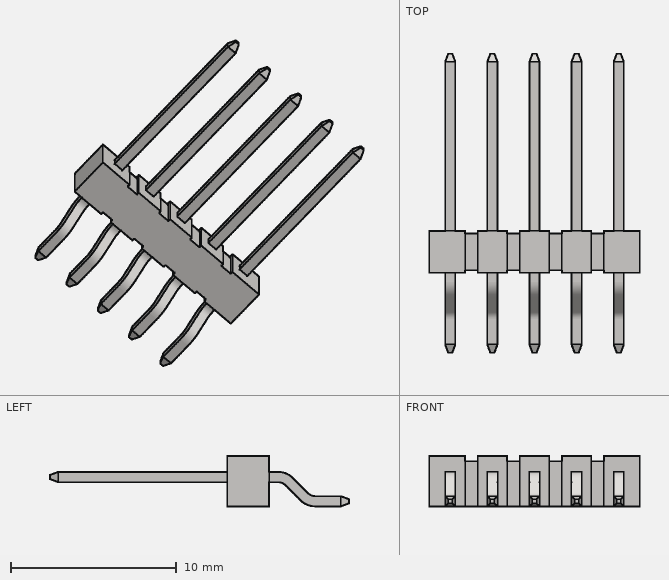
import cadquery as cq
import math

pin_count = 5
housing_width = 12.7
housing_depth = 2.55
housing_height = 3.05
web_width = 0.75
web_top_step = 0.3
web_side_step = 0.157

overall_length = 18.03
pin_size = 0.63
tail_reach = 4.81
pin_top_gap = 0.95
taper_length = 0.5
tip_size = 0.25
lead_out = 0.54
bend_inner_radius = 0.61
bend_angle = 45.0

pitch = housing_width / pin_count
pin_level = housing_height - pin_top_gap - pin_size / 2
tail_level = pin_size / 2
pin_taper_y = overall_length - tail_reach - taper_length
tail_taper_y = taper_length - tail_reach


def pin_place(index):
    """X position of a pin, counted from the -X end of the row."""
    return (index - (pin_count - 1) / 2) * pitch


def bar(width, depth, height):
    """Box centred on X, with its front on Y = 0 and its base on Z = 0."""
    return cq.Workplane("XY").box(width, depth, height, centered=(True, False, False))


def make_housing_bar():
    """Full bar, stepped in at the front, back and top between neighbouring pins."""
    web = bar(web_width, housing_depth - 2 * web_side_step, housing_height - web_top_step)
    step = bar(web_width, housing_depth, housing_height).cut(web.translate((0, web_side_step, 0)))
    housing_bar = bar(housing_width, housing_depth, housing_height)
    for index in range(pin_count - 1):
        housing_bar = housing_bar.cut(step.translate((pin_place(index) + pitch / 2, 0, 0)))
    return housing_bar


def make_bent_wire():
    """Square section swept along the pin's centre line, from the straight end to the tail."""
    angle = math.radians(bend_angle)
    radius = bend_inner_radius + pin_size / 2
    bend_run = radius * math.sin(angle)
    bend_drop = radius * (1 - math.cos(angle))
    half_run = radius * math.sin(angle / 2)
    half_drop = radius * (1 - math.cos(angle / 2))
    slope_run = (pin_level - tail_level - 2 * bend_drop) / math.tan(angle)

    upper_bend_y = -lead_out
    slope_top_y = upper_bend_y - bend_run
    slope_foot_y = slope_top_y - slope_run
    lower_bend_y = slope_foot_y - bend_run
    centre_line = (
        cq.Workplane("YZ")
        .moveTo(pin_taper_y, pin_level)
        .lineTo(upper_bend_y, pin_level)
        .threePointArc((upper_bend_y - half_run, pin_level - half_drop), (slope_top_y, pin_level - bend_drop))
        .lineTo(slope_foot_y, tail_level + bend_drop)
        .threePointArc((lower_bend_y + half_run, tail_level + half_drop), (lower_bend_y, tail_level))
        .lineTo(tail_taper_y, tail_level)
    )
    section = cq.Workplane("XZ", origin=(0, pin_taper_y, pin_level)).rect(pin_size, pin_size)
    return section.sweep(centre_line)


def make_taper(base_y, level, direction):
    """Four-sided taper on a pin end, pointing toward +Y or -Y."""
    base = cq.Plane(origin=(0, base_y, level), xDir=(1, 0, 0), normal=(0, direction, 0))
    return (
        cq.Workplane(base)
        .rect(pin_size, pin_size)
        .workplane(offset=taper_length)
        .rect(tip_size, tip_size)
        .loft(ruled=True)
    )


def make_pin(index):
    pin_taper = make_taper(pin_taper_y, pin_level, 1)
    tail_taper = make_taper(tail_taper_y, tail_level, -1)
    pin = make_bent_wire().union(pin_taper).union(tail_taper)
    return pin.translate((pin_place(index), 0, 0))


def make_housing():
    """Housing in one piece with its inner pins, with a through hole for each end pin."""
    housing = make_housing_bar()
    for index in range(1, pin_count - 1):
        housing = housing.union(make_pin(index))
    for end_pin in end_pins:
        housing = housing.cut(end_pin)
    return housing


end_pins = [make_pin(index) for index in (0, pin_count - 1)]
housing = make_housing()

result = cq.Compound.makeCompound([housing.val(), *[end_pin.val() for end_pin in end_pins]])